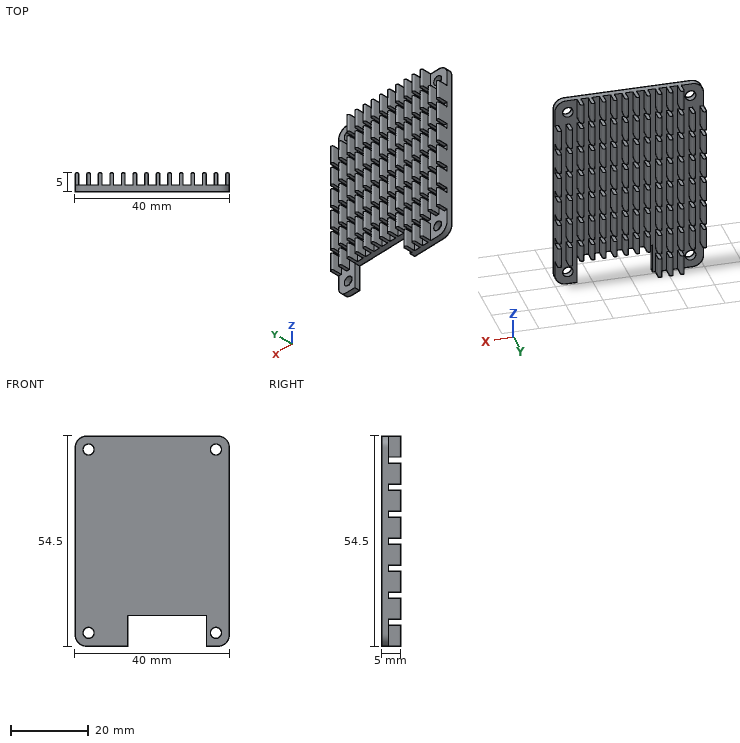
import cadquery as cq

plate_width = 40.0
plate_height = 54.5
plate_thickness = 1.8
corner_radius = 3.0

hole_diameter = 2.8
hole_edge_distance = 3.5

notch_left_x = -6.3
notch_right_x = 14.0
notch_depth = 7.95

fin_columns = 14
fin_rows = 8
fin_thickness = 1.0
fin_length = 5.5
fin_height = 3.2
corner_columns_omitted = 2

fin_pitch_x = (plate_width - fin_thickness) / (fin_columns - 1)
fin_pitch_z = (plate_height - fin_length) / (fin_rows - 1)
overall_depth = plate_thickness + fin_height


def make_plate():
    plate = cq.Workplane("XY").box(
        plate_width, plate_thickness, plate_height, centered=(True, False, True)
    )
    return plate.edges("|Y").fillet(corner_radius)


def make_fin():
    """One fin centred on X = Z = 0, standing on the plate, with a fully rounded tip."""
    half_thickness = fin_thickness / 2
    shoulder_y = overall_depth - half_thickness
    return (
        cq.Workplane("XY")
        .workplane(offset=-fin_length / 2)
        .moveTo(-half_thickness, plate_thickness)
        .lineTo(half_thickness, plate_thickness)
        .lineTo(half_thickness, shoulder_y)
        .threePointArc((0, overall_depth), (-half_thickness, shoulder_y))
        .close()
        .extrude(fin_length)
    )


def is_in_corner(column, row):
    last_full_column = fin_columns - 1 - corner_columns_omitted
    on_side = column < corner_columns_omitted or column > last_full_column
    return on_side and row in (0, fin_rows - 1)


def fin_positions():
    """XZ centres of all fins, the corners left free."""
    first_x = (fin_thickness - plate_width) / 2
    first_z = (fin_length - plate_height) / 2
    return [
        (first_x + column * fin_pitch_x, first_z + row * fin_pitch_z)
        for row in range(fin_rows)
        for column in range(fin_columns)
        if not is_in_corner(column, row)
    ]


def make_holes():
    hole_spacing_x = plate_width - 2 * hole_edge_distance
    hole_spacing_z = plate_height - 2 * hole_edge_distance
    return (
        cq.Workplane("XZ")
        .rect(hole_spacing_x, hole_spacing_z, forConstruction=True)
        .vertices()
        .circle(hole_diameter / 2)
        .extrude(-overall_depth)
    )


def make_notch():
    """Cutter through the plate and every fin behind the notch."""
    notch_width = notch_right_x - notch_left_x
    notch = cq.Workplane("XY").box(notch_width, overall_depth, notch_depth, centered=False)
    return notch.translate((notch_left_x, 0, -plate_height / 2))


fin = make_fin().val()
fins = [fin.translate(cq.Vector(x, 0, z)) for x, z in fin_positions()]
body = cq.Workplane("XY").newObject([make_plate().val().fuse(*fins)])

result = body.cut(make_holes()).cut(make_notch())